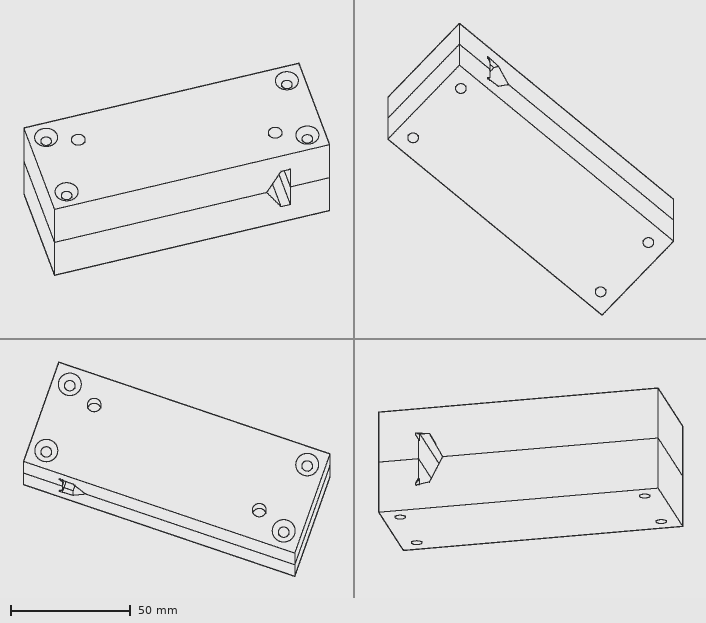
import cadquery as cq

LENGTH = 120.0
WIDTH = 45.0
HEIGHT = 45.0
HALF_HEIGHT = HEIGHT / 2
LEFT_X = -WIDTH / 2

SCREW_SPACING_X = 30.0
SCREW_EDGE_INSET = (WIDTH - SCREW_SPACING_X) / 2
SCREW_SPACING_Y = LENGTH - 2 * SCREW_EDGE_INSET
SCREW_DIAMETER = 4.5
COUNTERSINK_DIAMETER = 9.6
COUNTERSINK_ANGLE = 90.0

DOWEL_DIAMETER = 5.8
DOWEL_DEPTH = 9.6
DOWEL_X = 10.0
DOWEL_Y = 40.0

SLOT_BACK_Y = 42.8
SLOT_TIP_Y = 32.5
SLOT_HALF_HEIGHT = 12.0

MOUTH_DEPTH = 2.2
MOUTH_SHOULDER_Y = 38.2
MOUTH_SHOULDER_HALF_HEIGHT = 10.8
MOUTH_BACK_HALF_HEIGHT = 11.5
MOUTH_INNER_X = LEFT_X + MOUTH_DEPTH

FRONT_SLOPE = (MOUTH_SHOULDER_Y - SLOT_TIP_Y) / MOUTH_SHOULDER_HALF_HEIGHT
SLOT_SHOULDER_Y = SLOT_TIP_Y + FRONT_SLOPE * SLOT_HALF_HEIGHT

NOTCH_DEPTH = 1.5
NOTCH_BACK_Y = 44.3
NOTCH_LOW_Z = 8.6
NOTCH_BACK_LOW_Z = 11.0
NOTCH_HIGH_Z = 11.8


def slot_outline(shoulder_y, shoulder_z, back_z):
    """Closed YZ outline, symmetric about the parting plane."""
    return [
        (SLOT_BACK_Y, -back_z),
        (shoulder_y, -shoulder_z),
        (SLOT_TIP_Y, 0),
        (shoulder_y, shoulder_z),
        (SLOT_BACK_Y, back_z),
    ]


def side_slot():
    mouth = slot_outline(MOUTH_SHOULDER_Y, MOUTH_SHOULDER_HALF_HEIGHT, MOUTH_BACK_HALF_HEIGHT)
    inner = slot_outline(SLOT_SHOULDER_Y, SLOT_HALF_HEIGHT, SLOT_HALF_HEIGHT)
    tapered_mouth = (
        cq.Workplane("YZ", origin=(LEFT_X, 0, 0))
        .polyline(mouth)
        .close()
        .workplane(offset=MOUTH_DEPTH)
        .polyline(inner)
        .close()
        .loft(ruled=True)
    )
    passage = cq.Workplane("YZ", origin=(MOUTH_INNER_X, 0, 0)).polyline(inner).close()
    return tapered_mouth.union(passage.extrude(WIDTH - MOUTH_DEPTH))


def mouth_notch(side):
    """Back corner notch above (side = 1) or below (side = -1) the parting plane."""
    opening = [
        (SLOT_BACK_Y, side * NOTCH_LOW_Z),
        (NOTCH_BACK_Y, side * NOTCH_BACK_LOW_Z),
        (NOTCH_BACK_Y, side * NOTCH_HIGH_Z),
        (SLOT_BACK_Y, side * MOUTH_BACK_HALF_HEIGHT),
    ]
    plan = [
        (LEFT_X, SLOT_BACK_Y),
        (LEFT_X, NOTCH_BACK_Y),
        (LEFT_X + NOTCH_DEPTH, SLOT_BACK_Y),
    ]
    prism = cq.Workplane("YZ", origin=(LEFT_X, 0, 0)).polyline(opening).close().extrude(NOTCH_DEPTH)
    wedge = cq.Workplane("XY").polyline(plan).close().extrude(HALF_HEIGHT, both=True)
    return prism.intersect(wedge)


def block_half(bottom_z):
    block = cq.Workplane("XY").box(WIDTH, LENGTH, HALF_HEIGHT, centered=(True, True, False))
    block = block.translate((0, 0, bottom_z))
    block = block.cut(side_slot())
    for side in (-1, 1):
        block = block.cut(mouth_notch(side))
    return block


def upper_half():
    half = block_half(0).faces(">Z").workplane(origin=(0, 0, HALF_HEIGHT))
    half = half.rarray(SCREW_SPACING_X, SCREW_SPACING_Y, 2, 2).cskHole(
        SCREW_DIAMETER, COUNTERSINK_DIAMETER, COUNTERSINK_ANGLE
    )
    dowel_places = [(DOWEL_X, DOWEL_Y), (-DOWEL_X, -DOWEL_Y)]
    dowels = cq.Workplane("XY", origin=(0, 0, HALF_HEIGHT)).pushPoints(dowel_places)
    return half.cut(dowels.circle(DOWEL_DIAMETER / 2).extrude(-DOWEL_DEPTH))


def lower_half():
    screws = cq.Workplane("XY").rarray(SCREW_SPACING_X, SCREW_SPACING_Y, 2, 2)
    return block_half(-HALF_HEIGHT).cut(screws.circle(SCREW_DIAMETER / 2).extrude(-HALF_HEIGHT))


result = cq.Compound.makeCompound([upper_half().val(), lower_half().val()])